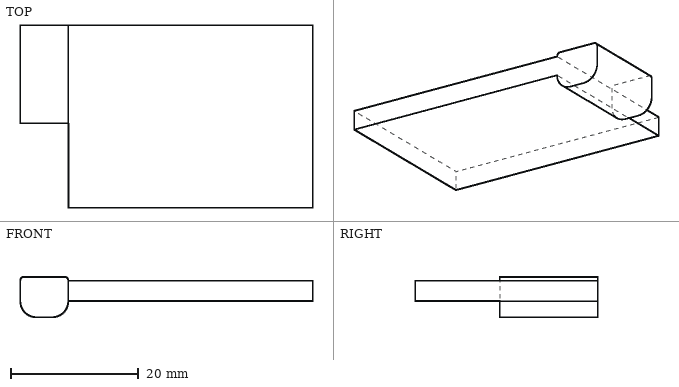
import cadquery as cq

total_length = 45.77
total_width = 28.58
total_height = 6.35

block_length = 7.54
block_width = 15.37
top_radius = 0.6
bottom_radius = 2.54

plate_length = total_length - block_length
plate_thickness = total_height - top_radius - bottom_radius


def make_block():
    """Block along Y with lightly rounded top edges and broadly rounded bottom edges."""
    block = cq.Workplane("XY").box(block_length, block_width, total_height, centered=False)
    block = block.edges("|Y and >Z").fillet(top_radius)
    return block.edges("|Y and <Z").fillet(bottom_radius)


def make_plate():
    """Flat plate starting at the block's +X side, between its upper and lower roundings."""
    plate = cq.Workplane("XY").box(plate_length, total_width, plate_thickness, centered=False)
    return plate.translate((block_length, 0, bottom_radius))


block = make_block().translate((0, total_width - block_width, 0))
result = make_plate().union(block)